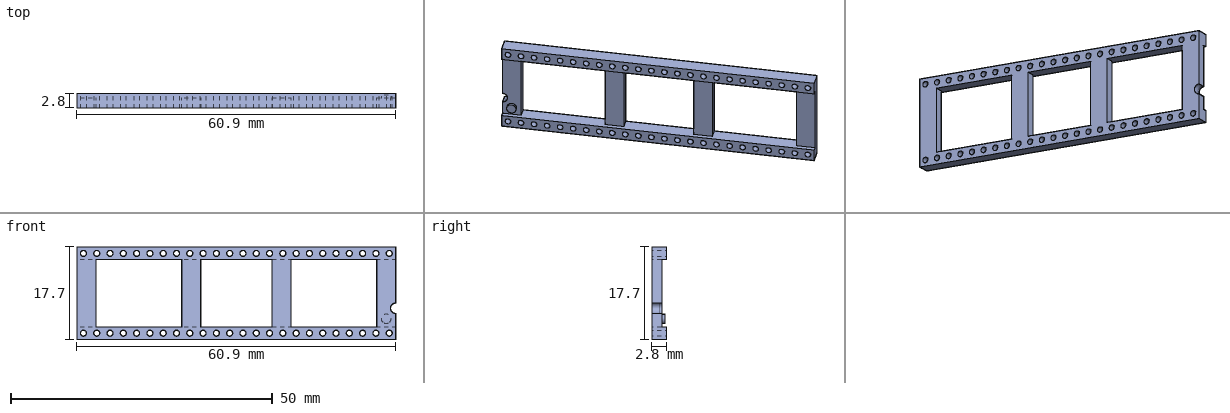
import cadquery as cq

length = 60.9
thickness = 2.8
height = 17.7

pins_per_row = 24
pin_row_length = 58.4
pin_pitch = pin_row_length / (pins_per_row - 1)
row_spacing = 6 * pin_pitch
pin_hole_diameter = 1.1

bar_width = 3.65
rail_height = 2.45
middle_window_length = 13.6
opening_height = height - 2 * rail_height
outer_window_length = (length - middle_window_length - 4 * bar_width) / 2
outer_window_x = (length - outer_window_length) / 2 - bar_width

channel_depth = 0.85

notch_radius = 1.0
notch_z = -2.85

boss_radius = 0.9
boss_height = 0.55
boss_x = (length - bar_width) / 2
boss_z = -4.9


def make_frame():
    """Plain block with the lengthwise channel cut into its back face."""
    block = cq.Workplane("XY").box(length, thickness, height)
    channel = cq.Workplane("XY").box(length, channel_depth, opening_height)
    return block.cut(channel.translate((0, (thickness - channel_depth) / 2, 0)))


def make_windows():
    """Cutter for the long windows on both sides of the shorter middle one."""
    cutter = cq.Workplane("XY").box(middle_window_length, thickness, opening_height)
    for x in (-outer_window_x, outer_window_x):
        window = cq.Workplane("XY").box(outer_window_length, thickness, opening_height)
        cutter = cutter.add(window.translate((x, 0, 0)))
    return cutter.combine()


def make_pin_holes():
    """Cutter for the two rows of through holes along the rails."""
    return (
        cq.Workplane("XZ")
        .rarray(pin_pitch, row_spacing, pins_per_row, 2)
        .circle(pin_hole_diameter / 2)
        .extrude(thickness / 2, both=True)
    )


def make_notch():
    """Cutter for the half-round notch through the +X end bar."""
    return (
        cq.Workplane("XZ")
        .center(length / 2, notch_z)
        .circle(notch_radius)
        .extrude(thickness / 2, both=True)
    )


def make_boss():
    """Round boss standing on the channel floor, ending short of the back face."""
    channel_floor_y = thickness / 2 - channel_depth
    return (
        cq.Workplane("XZ", origin=(boss_x, channel_floor_y, boss_z))
        .circle(boss_radius)
        .extrude(-boss_height)
    )


frame = make_frame().cut(make_windows()).cut(make_pin_holes()).cut(make_notch())
result = frame.union(make_boss())